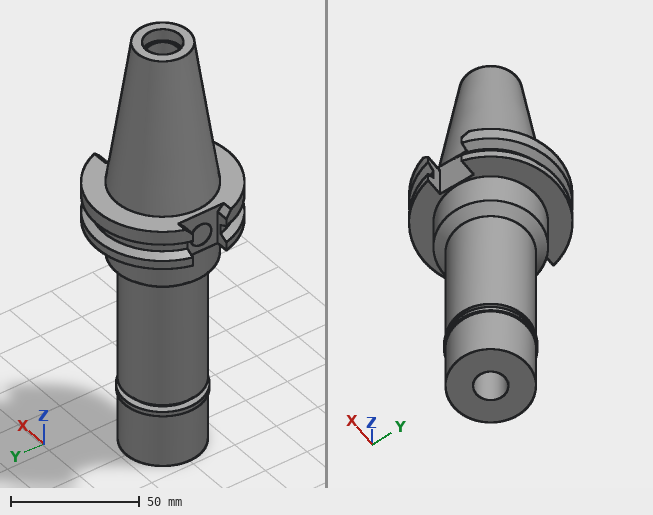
import cadquery as cq

length = 195.2

gauge_z = 127.0
gauge_radius = 22.3
taper_ratio = 7 / 24
taper_tip_radius = gauge_radius - (length - gauge_z) * taper_ratio / 2

flange_radius = 31.73
flange_top_z = 126.5
flange_bottom_z = 108.2
groove_center_z = 116.2
groove_floor_radius = 28.1
groove_floor_width = 4.1
groove_side_height = 2.0
groove_low_z = groove_center_z - groove_floor_width / 2
groove_high_z = groove_center_z + groove_floor_width / 2

collar_bottom_z = 92.2
shank_top_z = 88.3
shank_radius = 17.5
shank_bottom_z = 30.0
neck_radius = 14.6

slot_width = 16.0
slot_chamfer = 3.0
left_slot_floor = 25.0
right_slot_floor = 22.6

chip_z = 116.0
chip_diameter = 10.0
chip_thickness = 4.7
chip_recess = 0.1

bore_radius = 6.8
counterbore_radius = 8.0
counterbore_depth = 5.5

nose_radius = 17.5
nose_top_z = 27.1
rim_radius = 18.2
rim_bottom_z = 25.0


def turned_body():
    """Solid of revolution with the taper, flange, collar, shank, neck, nose and bore."""
    outline = [
        (bore_radius, 0),
        (nose_radius, 0),
        (nose_radius, rim_bottom_z),
        (rim_radius, rim_bottom_z),
        (rim_radius, nose_top_z),
        (neck_radius, nose_top_z),
        (neck_radius, shank_bottom_z),
        (shank_radius, shank_bottom_z),
        (shank_radius, shank_top_z),
        (gauge_radius, collar_bottom_z),
        (gauge_radius, flange_bottom_z),
        (flange_radius, flange_bottom_z),
        (flange_radius, groove_low_z - groove_side_height),
        (groove_floor_radius, groove_low_z),
        (groove_floor_radius, groove_high_z),
        (flange_radius, groove_high_z + groove_side_height),
        (flange_radius, flange_top_z),
        (gauge_radius, flange_top_z),
        (gauge_radius, gauge_z),
        (taper_tip_radius, length),
        (counterbore_radius, length),
        (counterbore_radius, length - counterbore_depth),
        (bore_radius, length - counterbore_depth),
    ]
    return cq.Workplane("XZ").polyline(outline).close().revolve(360, (0, 0), (0, 1))


def drive_slot(side, floor):
    """Slot cutter with a flared mouth at the flange top; side is -1 or +1 along X."""
    half_width = slot_width / 2
    half_mouth = half_width + slot_chamfer
    profile = [
        (-half_width, flange_bottom_z),
        (half_width, flange_bottom_z),
        (half_width, flange_top_z - slot_chamfer),
        (half_mouth, flange_top_z),
        (-half_mouth, flange_top_z),
        (-half_width, flange_top_z - slot_chamfer),
    ]
    depth = flange_radius - floor
    return cq.Workplane("YZ", origin=(side * floor, 0, 0)).polyline(profile).close().extrude(side * depth)


def chip_cylinder(depth_below_floor, height):
    """Cylinder along X at the chip position, running from below the -X slot floor toward the axis."""
    plane = cq.Workplane("YZ", origin=(-left_slot_floor + depth_below_floor, 0, chip_z))
    return plane.circle(chip_diameter / 2).extrude(height)


def make_holder():
    """Turned body with both drive slots and the pocket for the data chip."""
    body = turned_body()
    for side, floor in ((-1, left_slot_floor), (1, right_slot_floor)):
        body = body.cut(drive_slot(side, floor))
    return body.cut(chip_cylinder(0, chip_recess + chip_thickness))


def make_data_chip():
    """Disc that fills its pocket up to the small recess at the mouth."""
    return chip_cylinder(chip_recess, chip_thickness)


holder = make_holder()
data_chip = make_data_chip()
result = cq.Compound.makeCompound([holder.val(), data_chip.val()])